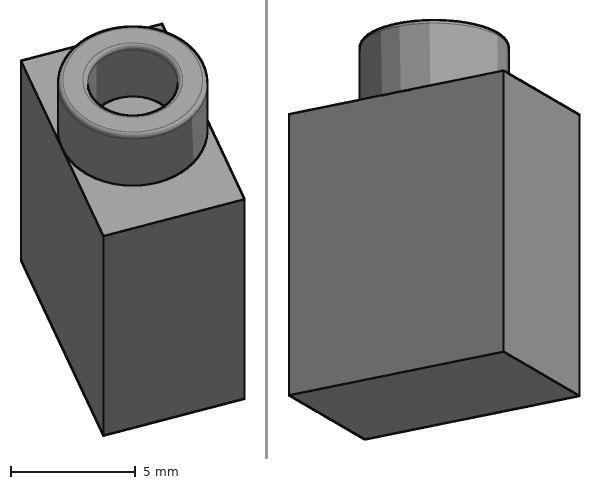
import cadquery as cq

body_length = 10.0
body_width = 6.0
body_height = 12.0

boss_diameter = body_width
boss_height = 3.0

bore_diameter = 3.6
bore_depth = boss_height

rim_radius = 0.2

part_height = body_height + boss_height


def make_body():
    return cq.Workplane("XY").box(body_length, body_width, body_height, centered=(True, True, False))


def make_boss():
    """Hollow boss with both edges of its top ring rounded."""
    boss = (
        cq.Workplane("XY", origin=(0, 0, body_height))
        .circle(boss_diameter / 2)
        .extrude(boss_height)
    )
    bore = (
        cq.Workplane("XY", origin=(0, 0, part_height - bore_depth))
        .circle(bore_diameter / 2)
        .extrude(bore_depth)
    )
    return boss.cut(bore).faces(">Z").edges().fillet(rim_radius)


result = make_body().union(make_boss())